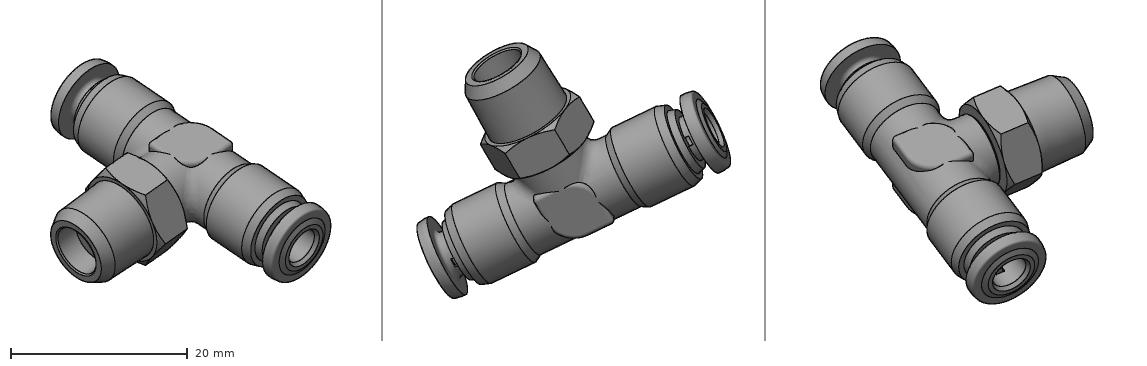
import cadquery as cq
import math

length = 36.0
end_x = length / 2
run_radius = 4.5
socket_radius = 5.0
socket_start_x = 6.48
socket_full_x = 7.38
socket_bevel_x = 13.0
socket_end_x = 14.08
socket_end_radius = 4.65
collar_radius = 3.95
collar_end_radius = 3.67
collar_end_x = 14.95

neck_radius = 2.75
neck_fillet = 0.55
flange_back_x = 16.2
flange_back_radius = 4.9
flange_taper_x = 16.78
flange_edge_radius = 4.8
flange_edge_round = 0.25
flange_front_x = 17.68
nose_base_radius = 3.7
nose_radius = 3.02
tube_bore_radius = 2.15
tube_mouth_radius = 2.45
tube_mouth_length = 0.5
tube_bore_depth = 8.65
slot_width = 1.08
slot_outer_x = 15.48
left_slot_angle = 0.0
right_slot_angle = -19.0

branch_end = 6.3
branch_end_chamfer = 0.2
crotch_fillet = 1.35
swivel_radius = 3.5

nut_start = 6.48
nut_end = 11.1
nut_across_flats = 11.0
nut_chamfer_length = 0.55
thread_radius = 5.0
thread_tip_radius = 4.82
thread_taper_end = 17.1
thread_end = 18.55
thread_end_radius = 4.05
branch_bore_radius = 3.02
branch_bore_chamfer = 0.18
branch_bore_depth = 3.02

pad_half_size = 3.5
pad_fillet = 0.5


def along_branch(workplane_solid):
    """Turn a solid built along +Z so that it runs along -Y."""
    return workplane_solid.rotate((0, 0, 0), (1, 0, 0), 90)


def leaf(height):
    """Square prism with two opposite corners rounded about the centre, standing on the middle plane."""
    s = pad_half_size
    arc = s * math.sqrt(0.5)
    return (
        cq.Workplane("XY")
        .moveTo(0, s)
        .lineTo(s, s)
        .lineTo(s, 0)
        .threePointArc((arc, -arc), (0, -s))
        .lineTo(-s, -s)
        .lineTo(-s, 0)
        .threePointArc((-arc, arc), (0, s))
        .close()
        .extrude(height)
    )


def make_tee():
    """Run and branch cylinders with the two pads, blended in the crotches."""
    run = cq.Workplane("YZ").circle(run_radius).extrude(socket_start_x, both=True)
    branch = along_branch(
        cq.Workplane("XY").circle(run_radius).extrude(branch_end).faces(">Z").chamfer(branch_end_chamfer)
    )
    pads = leaf(run_radius).edges("(>X and >Y and |Z) or (<X and <Y and |Z)").fillet(pad_fillet)
    pads = pads.faces(">Z").edges().fillet(pad_fillet)
    pads = pads.union(pads.mirror("XY"))
    tee = run.union(branch).union(pads)
    crotch_edges = [edge for edge in tee.edges("%ELLIPSE").vals() if edge.Center().y < 0]
    return tee.newObject(crotch_edges).fillet(crotch_fillet)


def make_run_end():
    """Socket and release sleeve at the +X end, butting against the run."""
    return (
        cq.Workplane("XY")
        .moveTo(socket_start_x, 0)
        .lineTo(socket_start_x, run_radius)
        .lineTo(socket_full_x, socket_radius)
        .lineTo(socket_bevel_x, socket_radius)
        .lineTo(socket_end_x, socket_end_radius)
        .lineTo(socket_end_x, collar_radius)
        .lineTo(collar_end_x, collar_end_radius)
        .lineTo(collar_end_x, neck_radius)
        .lineTo(flange_back_x - neck_fillet, neck_radius)
        .radiusArc((flange_back_x, neck_radius + neck_fillet), -neck_fillet)
        .lineTo(flange_back_x, flange_back_radius)
        .lineTo(flange_taper_x, flange_back_radius)
        .lineTo(flange_front_x - flange_edge_round, flange_edge_radius)
        .radiusArc((flange_front_x, flange_edge_radius - flange_edge_round), flange_edge_round)
        .lineTo(flange_front_x, nose_base_radius)
        .lineTo(end_x, nose_radius)
        .lineTo(end_x, 0)
        .close()
        .revolve(360, (0, 0, 0), (1, 0, 0))
    )


def make_run_end_cut(slot_angle):
    """Tube bore with its chamfered mouth, and the slot through both walls of the sleeve neck."""
    floor_x = end_x - tube_bore_depth
    bore = (
        cq.Workplane("XY")
        .moveTo(floor_x, 0)
        .lineTo(floor_x, tube_bore_radius)
        .lineTo(end_x - tube_mouth_length, tube_bore_radius)
        .lineTo(end_x, tube_mouth_radius)
        .lineTo(end_x, 0)
        .close()
        .revolve(360, (0, 0, 0), (1, 0, 0))
    )
    slot = (
        cq.Workplane("XY")
        .box(slot_outer_x - collar_end_x, slot_width, 2 * flange_back_radius)
        .translate(((slot_outer_x + collar_end_x) / 2, 0, 0))
        .rotate((0, 0, 0), (1, 0, 0), slot_angle)
    )
    return bore.union(slot)


def make_nut():
    """Hexagon with two flats facing up and down, bevelled at both ends by shallow cones."""
    nut_length = nut_end - nut_start
    corner_radius = nut_across_flats / math.sqrt(3)
    face_radius = nut_across_flats / 2
    hexagon = (
        cq.Workplane("XY").workplane(offset=nut_start).polygon(6, 2 * corner_radius).extrude(nut_length)
    )
    bevel_envelope = (
        cq.Workplane("XY")
        .workplane(offset=nut_start)
        .circle(corner_radius)
        .extrude(nut_length)
        .faces("<Z or >Z")
        .chamfer(nut_chamfer_length, corner_radius - face_radius)
    )
    return along_branch(hexagon.intersect(bevel_envelope))


def make_threaded_stem():
    """Swivel neck, tapered thread and its bevelled tip, as one turned shape."""
    stem = (
        cq.Workplane("XZ")
        .moveTo(0, 0)
        .lineTo(swivel_radius, 0)
        .lineTo(swivel_radius, nut_end)
        .lineTo(thread_radius, nut_end)
        .lineTo(thread_tip_radius, thread_taper_end)
        .lineTo(thread_end_radius, thread_end)
        .lineTo(0, thread_end)
        .close()
        .revolve(360, (0, 0, 0), (0, 1, 0))
    )
    return along_branch(stem)


def make_branch_bore():
    """Blind bore in the threaded end with a chamfered mouth."""
    floor = thread_end - branch_bore_depth
    bore = (
        cq.Workplane("XZ")
        .moveTo(0, floor)
        .lineTo(branch_bore_radius, floor)
        .lineTo(branch_bore_radius, thread_end - branch_bore_chamfer)
        .lineTo(branch_bore_radius + branch_bore_chamfer, thread_end)
        .lineTo(0, thread_end)
        .close()
        .revolve(360, (0, 0, 0), (0, 1, 0))
    )
    return along_branch(bore)


right_end = make_run_end()
left_end = right_end.mirror("YZ")
result = make_tee().union(right_end).union(left_end)
result = result.union(make_threaded_stem()).union(make_nut())
result = result.cut(make_branch_bore())
result = result.cut(make_run_end_cut(right_slot_angle))
result = result.cut(make_run_end_cut(left_slot_angle).mirror("YZ"))